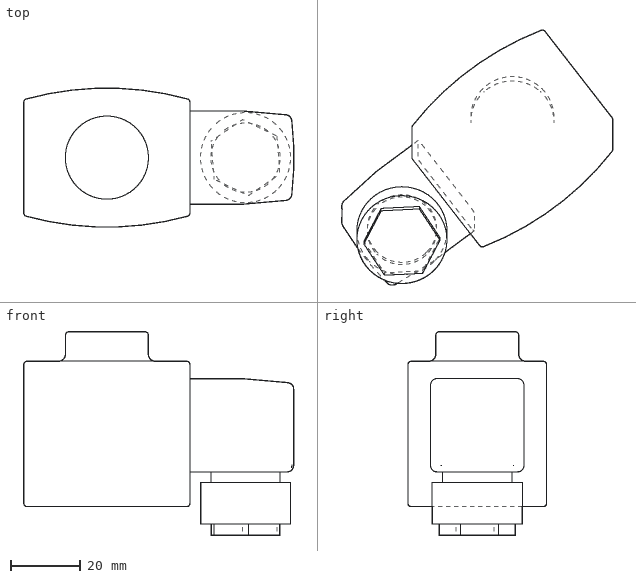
import cadquery as cq
import math


body_length = 48.0
body_width = 40.18
body_end_width = 33.5
body_height = 42.0
body_edge_radius = 1.0

bonnet_diameter = 24.0
bonnet_height = 8.5
bonnet_edge_radius = 1.0
bonnet_root_radius = 2.0

plug_length = 30.0
plug_size = 27.0
plug_bottom = 10.0
plug_straight_length = 15.0
plug_taper_angle = 5.0
plug_end_bulge = 0.8
plug_edge_radius = 2.0

gland_x = 40.0
neck_diameter = 20.0
neck_length = 3.0
collar_diameter = 26.0
collar_length = 12.0
hex_corner_diameter = 22.0
hex_length = 3.3
hex_turn = 34.3

body_end = body_length / 2
plug_end = body_end + plug_length
plug_bend = body_end + plug_straight_length
collar_top = plug_bottom - neck_length
collar_bottom = collar_top - collar_length


def make_body():
    """Block with flat ends and arched sides, rounded along every edge."""
    half_width = body_width / 2
    half_end = body_end_width / 2
    return (
        cq.Workplane("XY")
        .moveTo(-body_end, -half_end)
        .threePointArc((0, -half_width), (body_end, -half_end))
        .lineTo(body_end, half_end)
        .threePointArc((0, half_width), (-body_end, half_end))
        .close()
        .extrude(body_height)
        .edges()
        .fillet(body_edge_radius)
    )


def make_bonnet():
    """Turned bonnet with a rounded rim and a flared root."""
    radius = bonnet_diameter / 2
    flare_radius = radius + bonnet_root_radius
    top = body_height + bonnet_height
    root_depth = body_height - body_edge_radius
    diagonal = math.sqrt(0.5)
    root_middle = (
        flare_radius - bonnet_root_radius * diagonal,
        body_height + bonnet_root_radius * (1 - diagonal),
    )
    rim_middle = (
        radius - bonnet_edge_radius * (1 - diagonal),
        top - bonnet_edge_radius * (1 - diagonal),
    )
    return (
        cq.Workplane("XZ")
        .moveTo(0, root_depth)
        .lineTo(flare_radius, root_depth)
        .lineTo(flare_radius, body_height)
        .threePointArc(root_middle, (radius, body_height + bonnet_root_radius))
        .lineTo(radius, top - bonnet_edge_radius)
        .threePointArc(rim_middle, (radius - bonnet_edge_radius, top))
        .lineTo(0, top)
        .close()
        .revolve(360, (0, 0, 0), (0, 1, 0))
    )


def plug_section(drop):
    """Rounded section with its sides and top drawn in by drop and its bottom kept level."""
    return (
        cq.Sketch()
        .push([(0, plug_bottom + (plug_size - drop) / 2)])
        .rect(plug_size - 2 * drop, plug_size - drop)
        .reset()
        .vertices()
        .fillet(plug_edge_radius)
    )


def make_plug():
    """Square housing whose sides and top taper toward a slightly bulged end."""
    taper_length = plug_length - plug_straight_length
    taper_drop = taper_length * math.tan(math.radians(plug_taper_angle))
    root_section = plug_section(0)
    end_section = plug_section(taper_drop).moved(cq.Location(cq.Vector(0, 0, taper_length)))
    bend_plane = cq.Workplane("YZ", origin=(plug_bend, 0, 0))
    straight = bend_plane.placeSketch(root_section).extrude(-plug_straight_length)
    tapered = bend_plane.placeSketch(root_section, end_section).loft(ruled=True)

    half_end = plug_size / 2 - taper_drop
    bulge_radius = (half_end**2 + plug_end_bulge**2) / (2 * plug_end_bulge)
    bulge = (
        cq.Workplane("XY", origin=(plug_end - bulge_radius, 0, 0))
        .circle(bulge_radius)
        .extrude(body_height)
    )
    return straight.union(tapered).intersect(bulge).faces(">X").edges().fillet(plug_edge_radius)


def make_gland():
    """Round neck and collar ending in a hexagon."""
    neck = (
        cq.Workplane("XY", origin=(gland_x, 0, collar_top))
        .circle(neck_diameter / 2)
        .extrude(neck_length + plug_edge_radius)
    )
    collar = (
        cq.Workplane("XY", origin=(gland_x, 0, collar_bottom))
        .circle(collar_diameter / 2)
        .extrude(collar_length)
    )
    hexagon = (
        cq.Workplane("XY", origin=(gland_x, 0, collar_bottom))
        .transformed(rotate=(0, 0, hex_turn))
        .polygon(6, hex_corner_diameter)
        .extrude(-hex_length)
    )
    return neck.union(collar).union(hexagon)


result = make_body().union(make_bonnet()).union(make_plug()).union(make_gland())